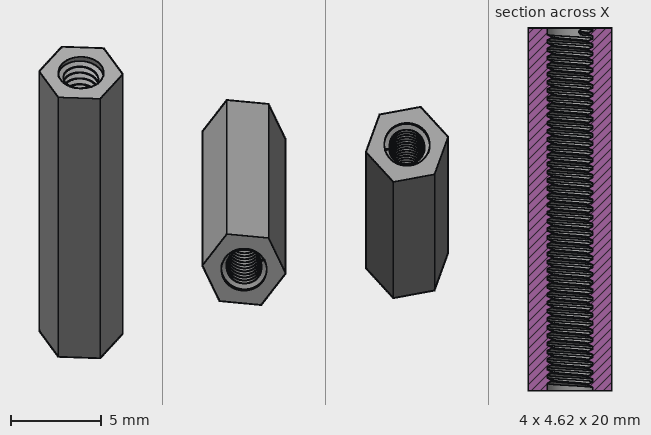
import cadquery as cq
import math

length = 20.0
across_flats = 4.0
across_corners = across_flats / math.cos(math.radians(30))

major_diameter = 2.5
minor_diameter = 1.95
pitch = 0.45
crest_width = pitch / 8
root_width = pitch * 0.85
wall_overlap = 0.05
end_clearance = 0.05
start_angle = 180


def hex_body():
    """Hexagonal bar with two flats facing +X and -X, bored through at the major diameter."""
    return (
        cq.Workplane("XY")
        .transformed(rotate=(0, 0, 90))
        .polygon(6, across_corners)
        .circle(major_diameter / 2)
        .extrude(length)
    )


def thread_ridge():
    """Helical ridge with a trapezoid section, standing inward from the wall of the bore."""
    root_radius = major_diameter / 2 + wall_overlap
    crest_radius = minor_diameter / 2
    first_center = end_clearance + root_width / 2
    ridge_height = length - 2 * first_center
    helix = cq.Wire.makeHelix(pitch, ridge_height, root_radius, cq.Vector(0, 0, first_center))
    return (
        cq.Workplane("XZ")
        .moveTo(root_radius, first_center - root_width / 2)
        .lineTo(crest_radius, first_center - crest_width / 2)
        .lineTo(crest_radius, first_center + crest_width / 2)
        .lineTo(root_radius, first_center + root_width / 2)
        .close()
        .sweep(cq.Workplane(obj=helix), isFrenet=True)
        .rotate((0, 0, 0), (0, 0, 1), start_angle)
    )


result = hex_body().union(thread_ridge(), clean=False)